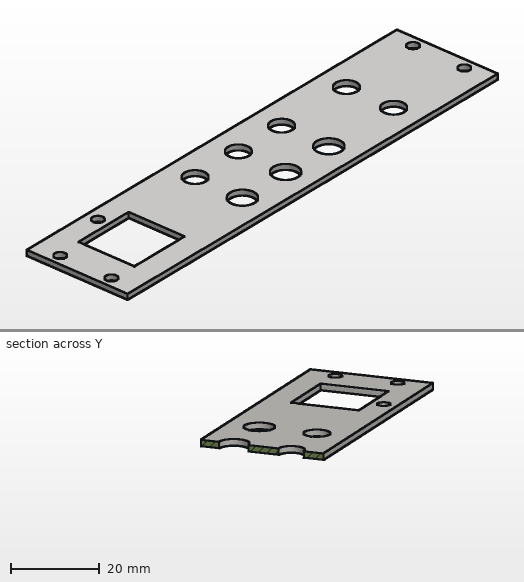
import cadquery as cq

PANEL_WIDTH = 30.0
PANEL_HEIGHT = 128.5
PANEL_THICKNESS = 1.6
MID_X = PANEL_WIDTH / 2
MID_Y = PANEL_HEIGHT / 2

SCREW_DIAMETER = 3.1
MOUNT_SPACING_X = 15.24
MOUNT_EDGE_DISTANCE = 3.0

SMALL_CONTROL_DIAMETER = 6.1
LARGE_CONTROL_DIAMETER = 7.1
LEFT_COLUMN_X = 7.9
RIGHT_COLUMN_X = 21.95
ROW_PITCH = 15.0
LOWER_ROWS_Y = [MID_Y - ROW_PITCH, MID_Y, MID_Y + ROW_PITCH]
TOP_ROW_OFFSET = 37.5
TOP_ROW_Y = MID_Y + TOP_ROW_OFFSET

WINDOW_WIDTH = 16.6
WINDOW_HEIGHT = 17.4
WINDOW_X = 14.9
WINDOW_Y = 19.0
WINDOW_SCREW_X = 3.4
WINDOW_SCREW_Y = 20.75


def make_panel():
    return cq.Workplane("XY").box(
        PANEL_WIDTH, PANEL_HEIGHT, PANEL_THICKNESS, centered=False
    )


def round_cutter(centers, diameter):
    return cq.Workplane("XY").pushPoints(centers).circle(diameter / 2).extrude(PANEL_THICKNESS)


def window_cutter():
    return (
        cq.Workplane("XY")
        .center(WINDOW_X, WINDOW_Y)
        .rect(WINDOW_WIDTH, WINDOW_HEIGHT)
        .extrude(PANEL_THICKNESS)
    )


mount_centers = [
    (MID_X + side * MOUNT_SPACING_X / 2, y)
    for side in (-1, 1)
    for y in (MOUNT_EDGE_DISTANCE, PANEL_HEIGHT - MOUNT_EDGE_DISTANCE)
]
screw_centers = mount_centers + [(WINDOW_SCREW_X, WINDOW_SCREW_Y)]

small_centers = [(LEFT_COLUMN_X, y) for y in LOWER_ROWS_Y + [TOP_ROW_Y]]
small_centers.append((RIGHT_COLUMN_X, TOP_ROW_Y))
large_centers = [(RIGHT_COLUMN_X, y) for y in LOWER_ROWS_Y]

result = (
    make_panel()
    .cut(round_cutter(screw_centers, SCREW_DIAMETER))
    .cut(round_cutter(small_centers, SMALL_CONTROL_DIAMETER))
    .cut(round_cutter(large_centers, LARGE_CONTROL_DIAMETER))
    .cut(window_cutter())
)